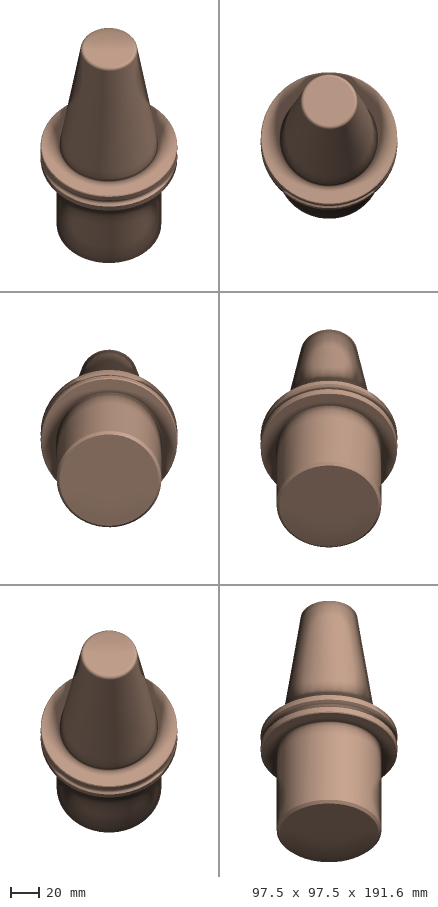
import cadquery as cq
import math

total_height = 191.6
body_radius = 37.4
body_chamfer = 2.0

flange_radius = 97.5 / 2
flange_bottom = 70.9
flange_top = 86.8
flange_chamfer = 0.5

groove_center = 79.0
groove_width = 6.3
groove_depth = 3.3
groove_flank_angle = 30.0
groove_corner_radius = 1.0

gauge_height = 89.7
gauge_radius = 34.9
taper_ratio = 7 / 24
tip_fillet = 2.3

root_fillet = 0.8

tip_radius = gauge_radius - (total_height - gauge_height) * taper_ratio / 2


def make_body():
    body = (
        cq.Workplane("XZ")
        .lineTo(body_radius, 0)
        .lineTo(body_radius, flange_bottom - root_fillet)
        .radiusArc((body_radius + root_fillet, flange_bottom), root_fillet)
        .lineTo(0, flange_bottom)
        .close()
        .revolve(360, (0, 0, 0), (0, 1, 0))
    )
    return body.faces("<Z").chamfer(body_chamfer)


def make_flange():
    flange = (
        cq.Workplane("XY")
        .workplane(offset=flange_bottom)
        .circle(flange_radius)
        .extrude(flange_top - flange_bottom)
        .edges()
        .chamfer(flange_chamfer)
    )
    return flange.cut(make_groove())


def make_groove():
    floor_radius = flange_radius - groove_depth
    half_mouth = groove_width / 2
    half_floor = half_mouth - groove_depth * math.tan(math.radians(groove_flank_angle))
    outside_radius = flange_radius + 2
    groove = (
        cq.Workplane("XZ")
        .moveTo(outside_radius, groove_center - half_mouth)
        .lineTo(flange_radius, groove_center - half_mouth)
        .lineTo(floor_radius, groove_center - half_floor)
        .lineTo(floor_radius, groove_center + half_floor)
        .lineTo(flange_radius, groove_center + half_mouth)
        .lineTo(outside_radius, groove_center + half_mouth)
        .close()
        .revolve(360, (0, 0, 0), (0, 1, 0))
    )
    floor_corners = cq.selectors.RadiusNthSelector(0)
    return groove.edges(floor_corners).fillet(groove_corner_radius)


def make_shank():
    shank = (
        cq.Workplane("XZ")
        .moveTo(0, flange_top)
        .lineTo(gauge_radius + root_fillet, flange_top)
        .radiusArc((gauge_radius, flange_top + root_fillet), root_fillet)
        .lineTo(gauge_radius, gauge_height)
        .lineTo(tip_radius, total_height)
        .lineTo(0, total_height)
        .close()
        .revolve(360, (0, 0, 0), (0, 1, 0))
    )
    return shank.faces(">Z").edges().fillet(tip_fillet)


result = make_body().union(make_flange()).union(make_shank())